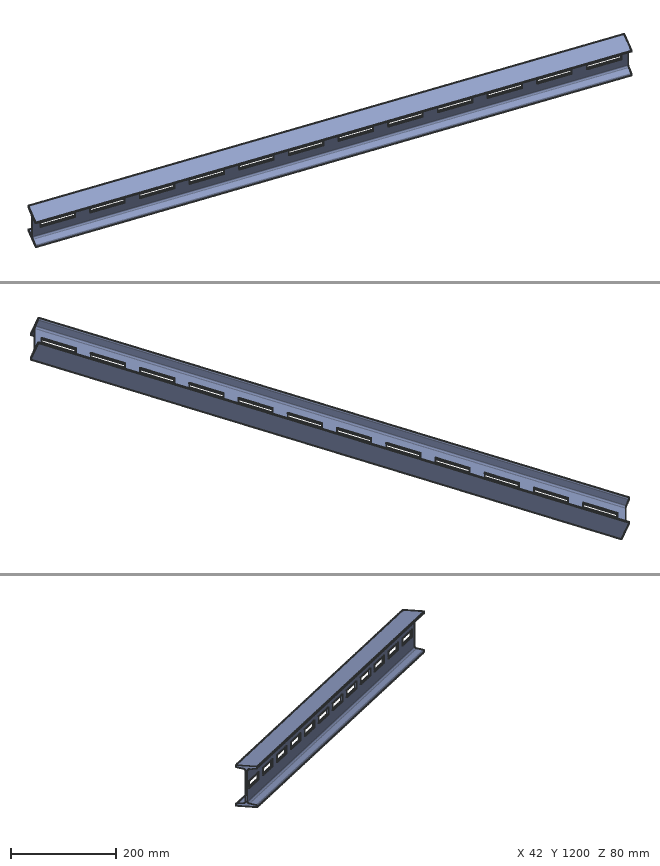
import cadquery as cq

beam_length = 1200.0
beam_height = 80.0
flange_width = 42.0
web_thickness = 3.9
flange_thickness = 5.7
flange_slope = 0.14
root_radius = 3.9
toe_radius = 2.3

slot_count = 12
slot_pitch = 100.0
slot_length = 70.0
slot_height = 14.0
slot_row_offset = 1.5

half_height = beam_height / 2
half_flange = flange_width / 2
half_web = web_thickness / 2


def inner_face_height(x):
    """Z of the sloping inner face of the upper flange at distance x from the web plane."""
    return half_height - flange_thickness + flange_slope * (x - flange_width / 4)


toe_z = inner_face_height(half_flange)
root_z = inner_face_height(half_web)


def fillet_mirrored_edges(beam, x, z, radius):
    """Round the four lengthwise edges at (+-x, +-z)."""
    corner_edges = []
    for edge in beam.edges("|Y").vals():
        center = edge.Center()
        if abs(abs(center.x) - x) < radius / 2 and abs(abs(center.z) - z) < radius / 2:
            corner_edges.append(edge)
    return cq.Workplane(beam.val().fillet(radius, corner_edges))


def make_beam():
    right_side = [
        (half_flange, half_height),
        (half_flange, toe_z),
        (half_web, root_z),
        (half_web, -root_z),
        (half_flange, -toe_z),
        (half_flange, -half_height),
    ]
    left_side = [(-x, z) for x, z in reversed(right_side)]
    beam = (
        cq.Workplane("XZ")
        .polyline(right_side + left_side)
        .close()
        .extrude(beam_length / 2, both=True)
    )
    beam = fillet_mirrored_edges(beam, half_web, root_z, root_radius)
    return fillet_mirrored_edges(beam, half_flange, toe_z, toe_radius)


def make_slots():
    return (
        cq.Workplane("YZ")
        .center(slot_row_offset, 0)
        .rarray(slot_pitch, 1, slot_count, 1)
        .rect(slot_length, slot_height)
        .extrude(web_thickness, both=True)
    )


result = make_beam().cut(make_slots())